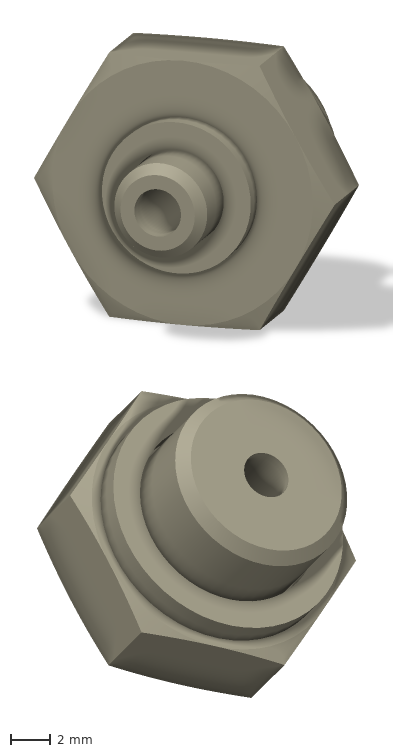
import cadquery as cq
import math


HEX_CORNERS = 16.17
HEX_FLATS = HEX_CORNERS * math.cos(math.radians(30))
HEX_LENGTH = 4.5
CORNER_CHAMFER_ANGLE = 15

THREAD_DIAMETER = 9.73
THREAD_CHAMFER = 0.6
THREAD_LENGTH = 4.5
RING_DIAMETER = 13.0
RING_BORE = 10.0
RING_LENGTH = 1.5

COLLAR_DIAMETER = 8.0
COLLAR_LENGTH = 1.0

STUB_DIAMETER = 5.0
STUB_BORE = 2.5
STUB_LENGTH = 3.0
STUB_CHAMFER = 0.5
POCKET_DIAMETER = 5.1

RING_BACK = HEX_LENGTH + RING_LENGTH
BACK_END = RING_BACK + THREAD_LENGTH
COLLAR_FRONT = -COLLAR_LENGTH
STUB_FRONT = COLLAR_FRONT - STUB_LENGTH
POCKET_END = HEX_LENGTH


def cylinder(diameter, start, end):
    """Solid cylinder along Y from start to end."""
    return cq.Workplane("XZ", origin=(0, start, 0)).circle(diameter / 2).extrude(start - end)


def make_hexagon():
    """Hexagon with points on X, its corners cut by a cone at both ends."""
    hexagon = cq.Workplane("XZ").polygon(6, HEX_CORNERS).extrude(-HEX_LENGTH)
    flat_radius = HEX_FLATS / 2
    corner_radius = HEX_CORNERS / 2
    cone_depth = (corner_radius - flat_radius) * math.tan(math.radians(CORNER_CHAMFER_ANGLE))
    envelope = (
        cq.Workplane("XY")
        .moveTo(0, 0)
        .lineTo(flat_radius, 0)
        .lineTo(corner_radius, cone_depth)
        .lineTo(corner_radius, HEX_LENGTH - cone_depth)
        .lineTo(flat_radius, HEX_LENGTH)
        .lineTo(0, HEX_LENGTH)
        .close()
        .revolve(360, (0, 0, 0), (0, 1, 0))
    )
    return hexagon.intersect(envelope)


def make_fitting():
    """Hexagon with threaded end and collar, bored to hold the stub tube."""
    thread = cylinder(THREAD_DIAMETER, HEX_LENGTH, BACK_END).faces(">Y").chamfer(THREAD_CHAMFER)
    collar = cylinder(COLLAR_DIAMETER, COLLAR_FRONT, 0)
    pocket = cylinder(POCKET_DIAMETER, COLLAR_FRONT, POCKET_END)
    bore = cylinder(STUB_BORE, POCKET_END, BACK_END)
    return make_hexagon().union(thread).union(collar).cut(pocket).cut(bore)


def make_seal_ring():
    """Ring around the thread, resting against the back of the hexagon."""
    return cylinder(RING_DIAMETER, HEX_LENGTH, RING_BACK).cut(cylinder(RING_BORE, HEX_LENGTH, RING_BACK))


def make_stub():
    """Tube standing on the pocket floor with clearance around it."""
    tube = cylinder(STUB_DIAMETER, STUB_FRONT, POCKET_END).faces("<Y").chamfer(STUB_CHAMFER)
    return tube.cut(cylinder(STUB_BORE, STUB_FRONT, POCKET_END))


fitting = make_fitting()
seal_ring = make_seal_ring()
stub = make_stub()

result = cq.Compound.makeCompound([fitting.val(), seal_ring.val(), stub.val()])